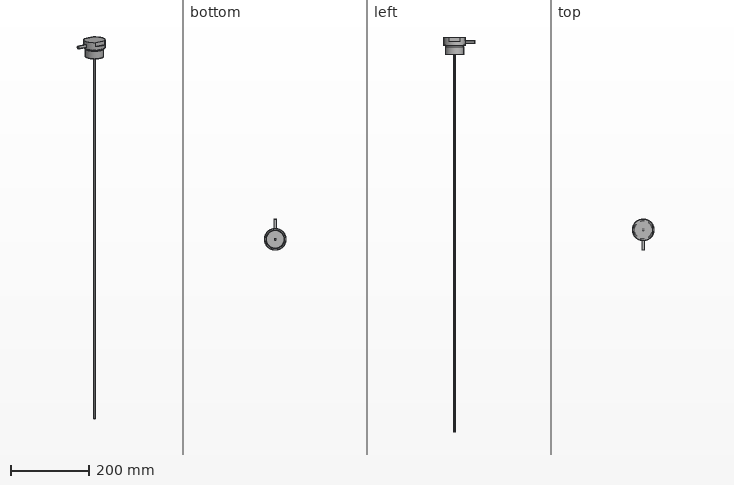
import cadquery as cq

total_height = 1008.0

head_diameter = 55.0
head_height = 20.0
flat_spacing = 47.0
flat_depth = 10.0

neck_diameter = 45.0
neck_height = 4.0
body_diameter = 47.0
body_bottom_depth = 44.0

overall_depth = 80.0
connector_axis_depth = 12.0
connector_diameter = 7.6

rod_diameter = 5.0

head_radius = head_diameter / 2
head_bottom = total_height - head_height
neck_bottom = head_bottom - neck_height
body_bottom = total_height - body_bottom_depth
connector_z = total_height - connector_axis_depth
connector_reach = overall_depth - head_radius


def cylinder_up(diameter, bottom, top):
    """Vertical cylinder on the Z axis between two levels."""
    return cq.Workplane("XY").workplane(offset=bottom).circle(diameter / 2).extrude(top - bottom)


def make_connector():
    """Round connector that starts inside the head and points toward -Y."""
    start = head_radius / 2
    plane = cq.Workplane("XZ", origin=(0, -start, connector_z))
    return plane.circle(connector_diameter / 2).extrude(connector_reach - start)


def make_head():
    """Cap with two side flats and the connector."""
    cap = cylinder_up(head_diameter, head_bottom, total_height)
    flat_width = (head_diameter - flat_spacing) / 2
    for side in (-1, 1):
        flat_cut = cq.Workplane("XY").box(flat_width, head_diameter, flat_depth)
        cut_x = side * (flat_spacing + flat_width) / 2
        cap = cap.cut(flat_cut.translate((cut_x, 0, total_height - flat_depth / 2)))
    return cap.union(make_connector())


def make_probe():
    """Neck, main cylinder and long rod in one piece, with the neck seated under the head."""
    neck = cylinder_up(neck_diameter, neck_bottom, head_bottom)
    body = cylinder_up(body_diameter, body_bottom, neck_bottom)
    rod = cylinder_up(rod_diameter, 0, body_bottom)
    return body.union(neck).union(rod)


head = make_head()
probe = make_probe()

result = cq.Compound.makeCompound([head.val(), probe.val()])